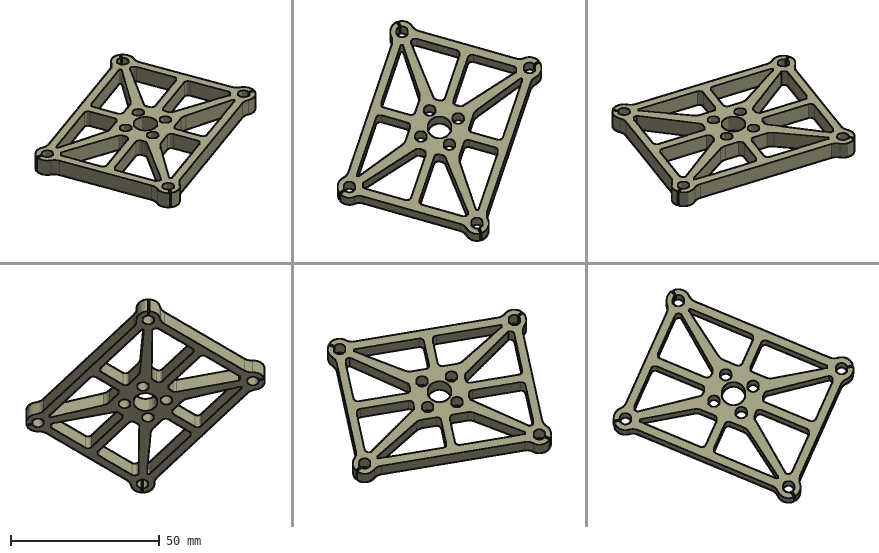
import cadquery as cq
import math

length = 68.0
width = 53.0
thickness = 6.0

lobe_radius = 4.0
lobe_blend_radius = 4.0
lobe_hole_radius = 2.0
slit_width = 0.55
lobe_x = width / 2 - lobe_radius
lobe_y = length / 2 - lobe_radius

frame_overhang = 2.0
frame_wall = 3.0
rib_width = 3.0
frame_x = lobe_x + frame_overhang
frame_y = lobe_y + frame_overhang
inner_x = frame_x - frame_wall
inner_y = frame_y - frame_wall

hub_half = 9.5
bore_radius = 4.0
bolt_hole_radius = 2.0
bolt_offset = 5.0

end_pocket_hub_x = 4.8
end_pocket_tip_x = 18.55
end_pocket_tip_y = 27.2
side_pocket_hub_y = 9.0
side_pocket_tip_y = 26.45

pocket_radius = 1.5
tip_radius = 0.5
spoke_bend_radius = 4.0

QUADRANTS = [(sx, sy) for sx in (-1, 1) for sy in (-1, 1)]


def make_plate():
    """Frame outline with a round lobe blended into each corner."""
    frame = cq.Workplane("XY").box(2 * frame_x, 2 * frame_y, thickness)
    lobes = (
        cq.Workplane("XY")
        .workplane(offset=-thickness / 2)
        .rect(2 * lobe_x, 2 * lobe_y, forConstruction=True)
        .vertices()
        .circle(lobe_radius)
        .extrude(thickness)
    )
    margin = 0.1
    corner = (frame_x + margin, frame_y + margin, thickness)
    on_frame = cq.selectors.BoxSelector(tuple(-c for c in corner), corner)
    return frame.union(lobes).edges("|Z").edges(on_frame).fillet(lobe_blend_radius)


def make_pocket(corners, sx, sy):
    """Through pocket from (x, y, radius) corners in one quadrant; radius 0 is sharp."""
    points = [(sx * x, sy * y) for x, y, _ in corners]
    pocket = cq.Workplane("XY").polyline(points).close().extrude(thickness, both=True)
    for (x, y), (_, _, radius) in zip(points, corners):
        if radius > 0:
            corner_edge = cq.NearestToPointSelector((x, y, 0))
            pocket = pocket.edges("|Z").edges(corner_edge).fillet(radius)
    return pocket


def make_slit(sx, sy):
    """Slot from a lobe hole outward along the plate diagonal."""
    angle = math.degrees(math.atan2(sy * lobe_y, sx * lobe_x))
    reach = 2 * lobe_radius
    return (
        cq.Workplane("XY")
        .box(reach, slit_width, thickness, centered=(False, True, True))
        .rotate((0, 0, 0), (0, 0, 1), angle)
        .translate((sx * lobe_x, sy * lobe_y, 0))
    )


def drill(body, half_x, half_y, radius):
    """Four through holes at the corners of a centred rectangle."""
    return (
        body.faces(">Z")
        .workplane(origin=(0, 0, 0))
        .rect(2 * half_x, 2 * half_y, forConstruction=True)
        .vertices()
        .hole(2 * radius)
    )


end_pocket = [
    (rib_width / 2, inner_y, pocket_radius),
    (end_pocket_tip_x, inner_y, pocket_radius),
    (end_pocket_tip_x, end_pocket_tip_y, 0),
    (end_pocket_hub_x, hub_half, pocket_radius),
    (rib_width / 2, hub_half, pocket_radius),
]

side_pocket = [
    (inner_x, rib_width / 2, pocket_radius),
    (inner_x, side_pocket_tip_y, tip_radius),
    (hub_half, side_pocket_hub_y, spoke_bend_radius),
    (hub_half, rib_width / 2, pocket_radius),
]

result = make_plate()
for sx, sy in QUADRANTS:
    result = result.cut(make_pocket(end_pocket, sx, sy))
    result = result.cut(make_pocket(side_pocket, sx, sy))
    result = result.cut(make_slit(sx, sy))

result = drill(result, lobe_x, lobe_y, lobe_hole_radius)
result = drill(result, bolt_offset, bolt_offset, bolt_hole_radius)
result = result.faces(">Z").workplane(origin=(0, 0, 0)).hole(2 * bore_radius)